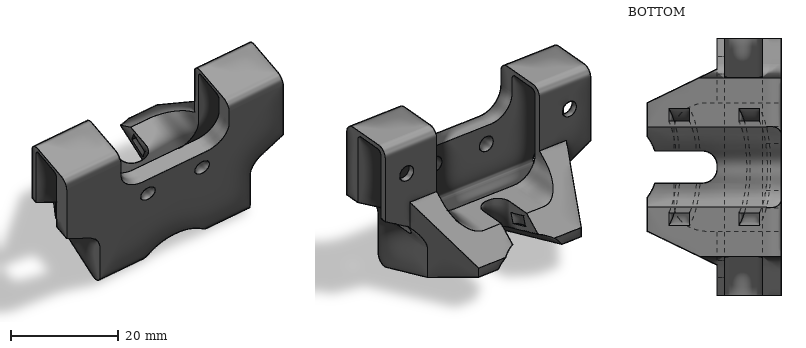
import cadquery as cq
import math


width = 48.0
depth = 25.0
height = 33.25
frame_depth = 12.0
corner_radius = 2.0

nose_root_height = 19.65
nose_tip_top = 9.25
nose_tip_bottom = 7.25
nose_tip_width = 24.0
nose_root_width = 36.6
underside_angle = 17.7

body_width = 33.3
post_bottom = 17.45
post_underside_angle = 30.0

saddle_width = 24.0
saddle_floor = 13.25
back_wall_top = 23.2
large_radius = 5.0

channel_front = 10.6
channel_width = 7.1
channel_floor = 11.2
channel_height = 21.1
channel_radius = 1.0

hole_diameter = 3.2
post_hole_spacing = 38.0
post_hole_height = 26.2
wall_hole_spacing = 12.0
wall_hole_height = 19.2

slot_width = 5.95
slot_corner_radius = 2.7

groove_radius = 9.0
groove_half_chord = 7.45
groove_exit_top = 4.15
tunnel_inner_radius = 10.0
tunnel_outer_radius = 12.05
tunnel_width = 4.05
tunnel_places = (6.3, 20.0)

underside_slope = math.tan(math.radians(underside_angle))
underside_back = nose_tip_bottom - depth * underside_slope
groove_drop = math.sqrt(groove_radius**2 - groove_half_chord**2)


def block(x_range, y_range, z_range):
    """Axis-aligned box given by its limits."""
    size = [high - low for low, high in (x_range, y_range, z_range)]
    corner = (x_range[0], y_range[0], z_range[0])
    return cq.Workplane("XY").box(*size, centered=False).translate(corner)


def side_profile():
    """Frame and nose outline in XZ, extruded over the full width."""
    outline = [
        (0, underside_back),
        (0, height),
        (-frame_depth, height),
        (-frame_depth, nose_root_height),
        (-depth, nose_tip_top),
        (-depth, nose_tip_bottom),
    ]
    solid = cq.Workplane("XZ").polyline(outline).close().extrude(width / 2, both=True)
    rounded = solid.edges("|Y").edges(">Z or >X")
    return rounded.fillet(corner_radius)


def plan_outline():
    """Tapered nose and full-width frame, seen along Z."""
    half = [
        (0, width / 2),
        (-frame_depth, width / 2),
        (-frame_depth, nose_root_width / 2),
        (-depth, nose_tip_width / 2),
    ]
    mirrored = [(x, -y) for x, y in reversed(half)]
    return cq.Workplane("XY").polyline(half + mirrored).close().extrude(height)


def post_outline():
    """Wide posts above a narrower body, seen along X."""
    shoulder_run = (width - body_width) / 2
    shoulder = post_bottom - shoulder_run * math.tan(math.radians(post_underside_angle))
    half = [
        (body_width / 2, 0),
        (body_width / 2, shoulder),
        (width / 2, post_bottom),
        (width / 2, height),
    ]
    mirrored = [(-y, z) for y, z in reversed(half)]
    solid = cq.Workplane("YZ").polyline(half + mirrored).close().extrude(-depth)
    reach = body_width / 2 + shoulder_run / 2
    around_shoulders = cq.selectors.BoxSelector(
        (-depth, -reach, shoulder / 2),
        (0, reach, post_bottom),
    )
    return solid.edges("|X").edges(around_shoulders).fillet(large_radius)


def saddle_cut(x_range, floor):
    """Round-bottomed opening between the posts."""
    half = saddle_width / 2
    opening = block(x_range, (-half, half), (floor, 2 * height))
    return opening.edges("|X and <Z").fillet(large_radius)


def channel_cut():
    channel = block(
        (-channel_front, channel_width - channel_front),
        (-width, width),
        (channel_floor, channel_floor + channel_height),
    )
    return channel.edges("|Y").fillet(channel_radius)


def hole_pair(spacing, z, x_start, x_end):
    """Two round holes along X."""
    plane = cq.Workplane("YZ", origin=(x_start, 0, 0))
    centres = plane.pushPoints([(-spacing / 2, z), (spacing / 2, z)])
    return centres.circle(hole_diameter / 2).extrude(x_end - x_start)


def nose_slot():
    half = slot_width / 2
    slot = block((-2 * depth, -frame_depth), (-half, half), (-height, height))
    return slot.edges("|Z and >X").fillet(slot_corner_radius)


def groove_plane(distance):
    """Plane across the groove, its origin on the groove axis.

    The distance runs up the slope, starting at the back face.
    """
    angle = math.radians(underside_angle)
    along = (-math.cos(angle), 0, math.sin(angle))
    origin = (
        along[0] * distance - groove_drop * math.sin(angle),
        0,
        underside_back + along[2] * distance - groove_drop * math.cos(angle),
    )
    return cq.Workplane(cq.Plane(origin=origin, xDir=(0, 1, 0), normal=along))


def cradle_groove():
    """Groove parallel to the sloped underside, levelling out at the back."""
    sloped = groove_plane(-depth).circle(groove_radius).extrude(3 * depth)
    exit_plane = cq.Workplane("YZ", origin=(-channel_front, 0, groove_exit_top - groove_radius))
    level_exit = exit_plane.circle(groove_radius).extrude(depth)
    return sloped.union(level_exit)


def strap_tunnel(distance):
    """Ring-shaped tunnel concentric with the groove."""
    ring = groove_plane(distance - tunnel_width / 2)
    ring = ring.circle(tunnel_outer_radius).circle(tunnel_inner_radius)
    return ring.extrude(tunnel_width)


result = side_profile().intersect(plan_outline()).intersect(post_outline())

channel_middle = -channel_front + channel_width / 2
result = result.cut(saddle_cut((-2 * depth, channel_middle), saddle_floor))
result = result.cut(saddle_cut((channel_middle, depth), back_wall_top))
result = result.cut(channel_cut())

result = result.cut(hole_pair(post_hole_spacing, post_hole_height, -depth, channel_middle))
result = result.cut(hole_pair(wall_hole_spacing, wall_hole_height, channel_middle, depth))

result = result.cut(nose_slot())
result = result.cut(cradle_groove())
for place in tunnel_places:
    result = result.cut(strap_tunnel(place))